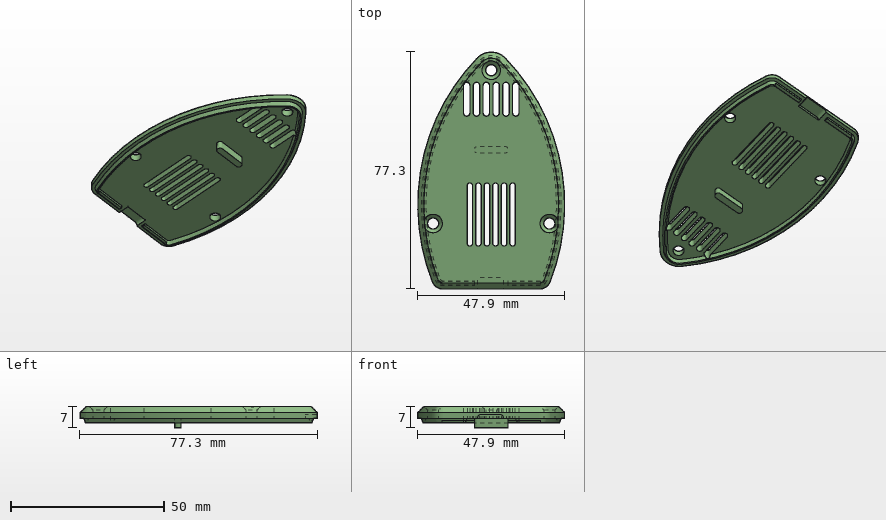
import cadquery as cq
import math

length = 77.3
side_radius = 68.7
side_center_x = -44.75
nose_radius = 6.3
tail_corner_radius = 3.9

nose_center_y = length - nose_radius
side_center_y = nose_center_y - math.sqrt((side_radius - nose_radius) ** 2 - side_center_x**2)
corner_reach = side_radius - tail_corner_radius
corner_center_x = side_center_x + math.sqrt(corner_reach**2 - (tail_corner_radius - side_center_y) ** 2)

edge_chamfer = 2.0
plate_depth = 3.95
rim_height = 1.5
total_height = 7.0
rim_bottom = plate_depth + rim_height

rim_outer_inset = 1.15
rim_outer_slope = 0.55
rim_inner_inset = 2.7
rim_inner_slope = 0.55

tail_rim_height = 0.6
tail_rim_span = 32.0
tail_cut_length = 3.9

notch_x = -0.2
notch_width = 8.35
notch_height = 1.2
notch_corner_radius = 0.9
notch_length = 3.9

tongue_length = 11.0
tongue_thickness = 2.2
tongue_corner_radius = 1.0
tongue_y = 45.45

screw_diameter = 3.55
countersink_diameter = 6.0
countersink_depth = (countersink_diameter - screw_diameter) / 2
nose_screw_y = 71.35
side_screw_x = 18.9
side_screw_y = 21.4

slots_per_group = 6
nose_slot_span = 16.0
nose_slot_pitch = nose_slot_span / (slots_per_group - 1)
nose_slot_width = 2.0
nose_slot_length = 11.0
nose_slot_y = 61.9
middle_slot_pitch = 2.8
middle_slot_width = 1.7
middle_slot_length = 20.5
middle_slot_y = 24.35


def outline(depth, inset):
    """Closed outline at a depth below the top face, shrunk evenly by inset."""
    side_r = side_radius - inset
    nose_r = nose_radius - inset
    corner_r = tail_corner_radius - inset

    def side_point(angle):
        return (side_center_x + side_r * math.cos(angle), side_center_y + side_r * math.sin(angle))

    def mirrored(point):
        return (-point[0], point[1])

    nose_angle = math.atan2(nose_center_y - side_center_y, -side_center_x)
    corner_angle = math.atan2(tail_corner_radius - side_center_y, corner_center_x - side_center_x)
    shoulder = side_point(nose_angle)
    bilge = side_point((nose_angle + corner_angle) / 2)
    heel = side_point(corner_angle)
    turn = (corner_angle - math.pi / 2) / 2
    corner = (corner_center_x + corner_r * math.cos(turn), tail_corner_radius + corner_r * math.sin(turn))
    tail = (corner_center_x, inset)
    return (
        cq.Workplane("XY", origin=(0, 0, -depth))
        .moveTo(*mirrored(tail))
        .lineTo(*tail)
        .threePointArc(corner, heel)
        .threePointArc(bilge, shoulder)
        .threePointArc((0, nose_center_y + nose_r), mirrored(shoulder))
        .threePointArc(mirrored(bilge), mirrored(heel))
        .threePointArc(mirrored(corner), mirrored(tail))
        .close()
    )


def sloped_layer(top, top_inset, bottom, bottom_inset):
    """Solid between two outlines with straight sloping sides."""
    wires = [outline(top, top_inset).val(), outline(bottom, bottom_inset).val()]
    return cq.Workplane(cq.Solid.makeLoft(wires, True))


def cover_plate():
    """Flat plate with its top edge chamfered at 45 degrees."""
    straight_side = outline(edge_chamfer, 0).extrude(edge_chamfer - plate_depth)
    return sloped_layer(0, edge_chamfer, edge_chamfer, 0).union(straight_side)


def tail_cut(width, depth):
    """Block that removes the rim at the tail below a given depth."""
    return (
        cq.Workplane("XY", origin=(0, 0, -depth))
        .rect(width, 2 * tail_cut_length)
        .extrude(depth - rim_bottom)
    )


def locating_rim():
    """Ring under the plate, lowered along the tail and open in the middle of the tail."""
    outer = sloped_layer(plate_depth, rim_outer_inset, rim_bottom, rim_outer_inset + rim_outer_slope)
    inner = sloped_layer(plate_depth, rim_inner_inset, rim_bottom, rim_inner_inset - rim_inner_slope)
    lowered = tail_cut(tail_rim_span, plate_depth + tail_rim_height)
    opening = tail_cut(tongue_length, plate_depth)
    return outer.cut(inner).cut(lowered).cut(opening)


def cable_notch():
    """Round-cornered channel cut up into the plate from its underside at the tail."""
    return (
        cq.Workplane("XZ", origin=(notch_x, 0, -plate_depth))
        .rect(notch_width, 2 * notch_height)
        .extrude(-notch_length)
        .edges("|Y")
        .fillet(notch_corner_radius)
    )


def locating_tongue():
    """Upright tab with rounded corners under the plate."""
    return (
        cq.Workplane("XY", origin=(0, tongue_y, -plate_depth))
        .rect(tongue_length, tongue_thickness)
        .extrude(plate_depth - total_height)
        .edges("|Z")
        .fillet(tongue_corner_radius)
    )


def screw_hole(x, y):
    """Through hole with a 45 degree countersink in the top face."""
    shank = cq.Workplane("XY").center(x, y).circle(screw_diameter / 2).extrude(-rim_bottom)
    countersink = cq.Solid.makeCone(
        countersink_diameter / 2,
        screw_diameter / 2,
        countersink_depth,
        cq.Vector(x, y, 0),
        cq.Vector(0, 0, -1),
    )
    return shank.union(cq.Workplane(countersink))


def slot_group(center_y, pitch, slot_width, slot_length):
    """Row of round-ended slots through the plate and any rim below it."""
    return (
        cq.Workplane("XY")
        .center(0, center_y)
        .rarray(pitch, 0.8, slots_per_group, 1)
        .slot2D(slot_length, slot_width, 90)
        .extrude(-rim_bottom)
    )


result = cover_plate().union(locating_rim()).union(locating_tongue()).cut(cable_notch())

for screw_x, screw_y in [
    (0, nose_screw_y),
    (-side_screw_x, side_screw_y),
    (side_screw_x, side_screw_y),
]:
    result = result.cut(screw_hole(screw_x, screw_y))

result = result.cut(slot_group(nose_slot_y, nose_slot_pitch, nose_slot_width, nose_slot_length))
result = result.cut(slot_group(middle_slot_y, middle_slot_pitch, middle_slot_width, middle_slot_length))